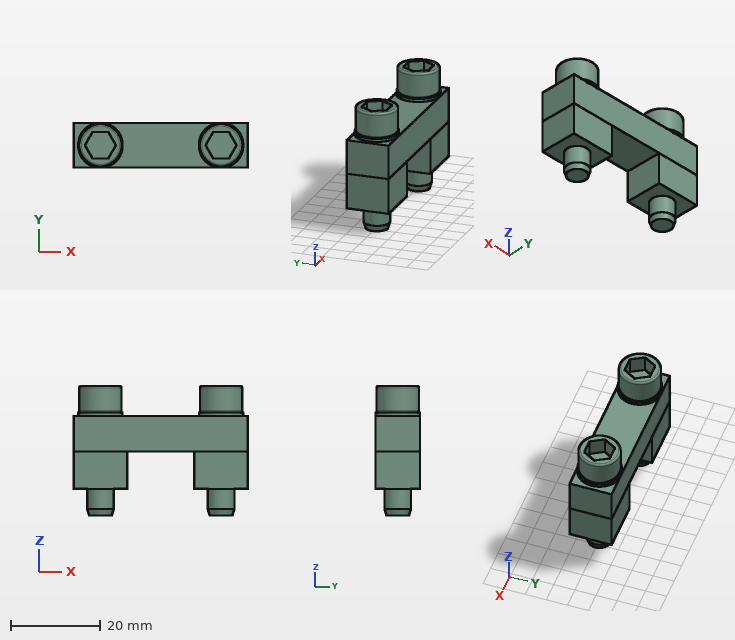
import cadquery as cq

bar_length = 39.0
bar_width = 10.0
bar_height = 8.0
block_length = 12.0
block_height = 8.3

screw_spacing = 27.0
shank_diameter = 6.0
shank_projection = 6.0
tip_diameter = 5.07
tip_height = 1.5
head_diameter = 9.5
head_height = 6.0
head_top_fillet = 0.45
head_bottom_fillet = 0.45
socket_across_flats = 6.0
socket_depth = 4.0

washer_diameter = bar_width
washer_thickness = 0.7

block_bottom = shank_projection
bar_bottom = block_bottom + block_height
bar_top = bar_bottom + bar_height
head_bottom = bar_top + washer_thickness
head_top = head_bottom + head_height

sides = (-1, 1)
quarter_turn = 90


def make_bar():
    """Straight bar with a close-fitting hole for each screw."""
    return (
        cq.Workplane("XY", origin=(0, 0, bar_bottom))
        .box(bar_length, bar_width, bar_height, centered=(True, True, False))
        .faces(">Z").workplane()
        .pushPoints([(side * screw_spacing / 2, 0) for side in sides])
        .hole(shank_diameter)
    )


def make_block(side):
    """Spacer block flush with one end of the bar, with a hole for its screw."""
    block_x = side * (bar_length - block_length) / 2
    block = (
        cq.Workplane("XY", origin=(block_x, 0, block_bottom))
        .box(block_length, bar_width, block_height, centered=(True, True, False))
    )
    screw_hole = (
        cq.Workplane("XY", origin=(side * screw_spacing / 2, 0, block_bottom))
        .circle(shank_diameter / 2)
        .extrude(block_height)
    )
    return block.cut(screw_hole)


def make_washer(side):
    """Flat ring between the bar and one screw head."""
    return (
        cq.Workplane("XY", origin=(side * screw_spacing / 2, 0, bar_top))
        .circle(washer_diameter / 2)
        .circle(shank_diameter / 2)
        .extrude(washer_thickness)
    )


def make_screw(side):
    """Cap screw with a rounded head, a hexagon socket and a tapered tip."""
    screw_x = side * screw_spacing / 2
    head = (
        cq.Workplane("XY", origin=(screw_x, 0, head_bottom))
        .circle(head_diameter / 2)
        .extrude(head_height)
        .faces(">Z").edges().fillet(head_top_fillet)
        .faces("<Z").edges().fillet(head_bottom_fillet)
    )
    shank = (
        cq.Workplane("XZ", origin=(screw_x, 0, 0))
        .polyline([
            (0, 0),
            (tip_diameter / 2, 0),
            (shank_diameter / 2, tip_height),
            (shank_diameter / 2, head_bottom),
            (0, head_bottom),
        ])
        .close()
        .revolve(360, (0, 0), (0, 1))
    )
    socket = (
        cq.Workplane("XY", origin=(screw_x, 0, head_top - socket_depth))
        .polygon(6, socket_across_flats, circumscribed=True)
        .extrude(socket_depth)
        .rotate((screw_x, 0, 0), (screw_x, 0, 1), quarter_turn)
    )
    return head.union(shank).cut(socket)


bar = make_bar()
blocks = [make_block(side) for side in sides]
washers = [make_washer(side) for side in sides]
screws = [make_screw(side) for side in sides]

result = cq.Compound.makeCompound([
    bar.solids().val(),
    *[block.solids().val() for block in blocks],
    *[washer.solids().val() for washer in washers],
    *[screw.solids().val() for screw in screws],
])